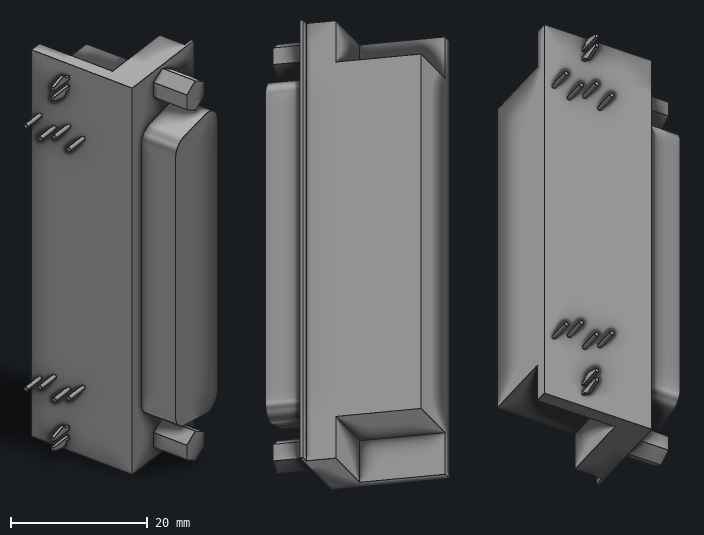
import cadquery as cq
import math

length = 67.4
depth = 18.05
height = 15.8
flange_lip = 1.7
flange_thickness = 0.5
board_plate = 2.1
end_notch_depth = 13.1
end_notch_length = 6.4

mating_axis_y = -0.2

shell_length = 52.4
shell_height = 10.7
shell_projection = 6.1
shell_radius = 2.6
flank_angle = math.radians(10)

fastener_z = 30.5
post_sides = 6
post_corner_radius = 2.55
post_projection = 5.9

pin_diameter = 0.7
pin_length = 3.7
pin_first_x = 1.6
pin_pitch_x = 2.55
pin_count = 4
pin_outer_row_z = 22.9
pin_inner_row_z = 21.7

clip_x = 6.6
clip_thickness = 0.5
clip_length = 4.0
clip_half_gap = 0.55
prong_outer = 1.15
barb_outer = 1.75
barb_start = 0.7
barb_peak_start = 1.2
barb_peak_end = 1.9

board_face = -height / 2
main_top = height / 2 - flange_lip


def box(x0, x1, y0, y1, z0, z1):
    block = cq.Workplane("XY", origin=(x0, y0, z0))
    return block.box(x1 - x0, y1 - y0, z1 - z0, centered=False)


def extrude_along_x(outline, start_x, origin_y, distance):
    plane = cq.Workplane("YZ", origin=(start_x, origin_y, 0))
    return plane.polyline(outline).close().extrude(distance)


def make_housing():
    body = box(0, depth, board_face, main_top, -length / 2, length / 2)
    flange = box(depth - flange_thickness, depth, board_face, height / 2, -length / 2, length / 2)
    notch_bottom = board_face + board_plate
    notch_inner = length / 2 - end_notch_length
    upper_notch = box(0, end_notch_depth, notch_bottom, main_top, notch_inner, length / 2)
    lower_notch = upper_notch.mirror("XY")
    return body.cut(upper_notch).cut(lower_notch).union(flange)


def make_shell():
    wide_center_y = shell_height / 2 - shell_radius
    wide_center_z = shell_length / 2 - shell_radius

    def flank_z(y):
        z_at_arc_center = wide_center_z + shell_radius / math.cos(flank_angle)
        return z_at_arc_center + (y - wide_center_y) * math.tan(flank_angle)

    wide = flank_z(shell_height / 2)
    narrow = flank_z(-shell_height / 2)
    outline = [
        (shell_height / 2, -wide),
        (shell_height / 2, wide),
        (-shell_height / 2, narrow),
        (-shell_height / 2, -narrow),
    ]
    shell = extrude_along_x(outline, depth, mating_axis_y, shell_projection)
    return shell.edges("|X").fillet(shell_radius)


def make_post(z):
    corners = []
    for i in range(post_sides):
        angle = 2 * math.pi * i / post_sides
        corner_y = post_corner_radius * math.sin(angle)
        corner_z = z + post_corner_radius * math.cos(angle)
        corners.append((corner_y, corner_z))
    return extrude_along_x(corners, depth, mating_axis_y, post_projection)


def make_pins(side):
    points = []
    for i in range(pin_count):
        row_z = pin_outer_row_z if i % 2 == 0 else pin_inner_row_z
        points.append((pin_first_x + i * pin_pitch_x, side * row_z))
    face = cq.Workplane("XZ", origin=(0, board_face, 0))
    return face.pushPoints(points).circle(pin_diameter / 2).extrude(pin_length)


def make_prong(z, side):
    profile = [
        (0, clip_half_gap),
        (0, prong_outer),
        (barb_start, prong_outer),
        (barb_peak_start, barb_outer),
        (barb_peak_end, barb_outer),
        (clip_length, prong_outer),
        (clip_length, clip_half_gap),
    ]
    outline = [(board_face - reach, z + side * offset) for reach, offset in profile]
    start_x = clip_x - clip_thickness / 2
    return extrude_along_x(outline, start_x, 0, clip_thickness)


result = make_housing().union(make_shell())
for end in (1, -1):
    result = result.union(make_post(end * fastener_z))
    result = result.union(make_pins(end))
    for prong_side in (1, -1):
        result = result.union(make_prong(end * fastener_z, prong_side))